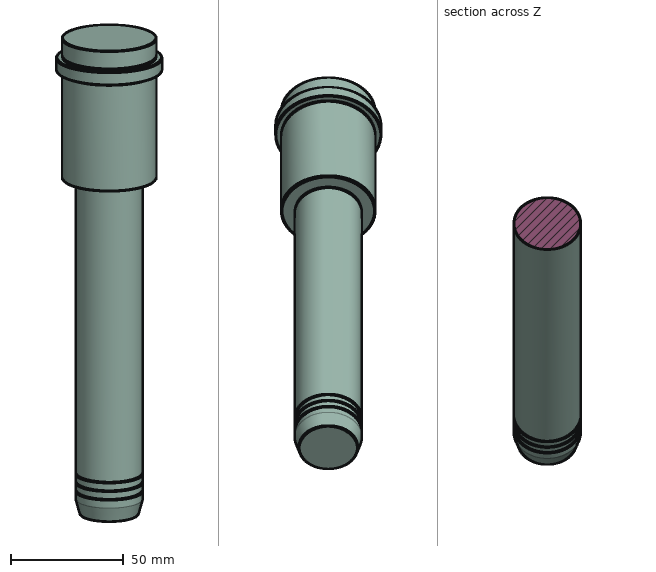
import cadquery as cq
import math

total_length = 220

head_diameter = 42.0
head_radius = head_diameter / 2
head_length = 65.1
head_bottom = total_length - head_length
head_top_chamfer = 0.5
head_bottom_chamfer = 0.7

flange_radius = 23.5
flange_bottom = 204.8
flange_thickness = 6.2
flange_top = flange_bottom + flange_thickness
flange_chamfer = 0.5

groove_depth = 0.2
relief_width = 0.9

shank_radius = 15.0
oil_groove_count = 3
oil_groove_pitch = 4.0
oil_groove_width = 0.7
lowest_oil_groove = 10.5

lead_in_height = 7.0
lead_in_angle = math.radians(15)
tip_chamfer = 0.5
tip_radius = shank_radius - (lead_in_height - tip_chamfer) * math.tan(lead_in_angle)


def cylinder(radius, bottom, height):
    return cq.Workplane("XY").workplane(offset=bottom).circle(radius).extrude(height)


def cut_groove(shaft, radius, bottom, width):
    """Sink one groove into the surface of a shaft of the given radius."""
    blank = cylinder(radius + groove_depth, bottom, width)
    core = cylinder(radius - groove_depth, bottom, width)
    return shaft.cut(blank.cut(core))


def make_shank():
    shank = (
        cq.Workplane("XZ")
        .lineTo(0, head_bottom)
        .lineTo(shank_radius, head_bottom)
        .lineTo(shank_radius, lead_in_height)
        .lineTo(tip_radius, tip_chamfer)
        .lineTo(tip_radius - tip_chamfer, 0)
        .close()
        .revolve(360, (0, 0, 0), (0, 1, 0))
    )
    for index in range(oil_groove_count):
        groove_bottom = lowest_oil_groove + index * oil_groove_pitch
        shank = cut_groove(shank, shank_radius, groove_bottom, oil_groove_width)
    return cut_groove(shank, shank_radius, head_bottom - relief_width, relief_width)


def make_head():
    head = cylinder(head_radius, head_bottom, head_length)
    head = head.faces(">Z").chamfer(head_top_chamfer)
    head = head.faces("<Z").chamfer(head_bottom_chamfer)
    for relief_bottom in (flange_bottom - relief_width, flange_top):
        head = cut_groove(head, head_radius, relief_bottom, relief_width)
    flange = cylinder(flange_radius, flange_bottom, flange_thickness)
    return head.union(flange.edges().chamfer(flange_chamfer))


result = make_shank().union(make_head())